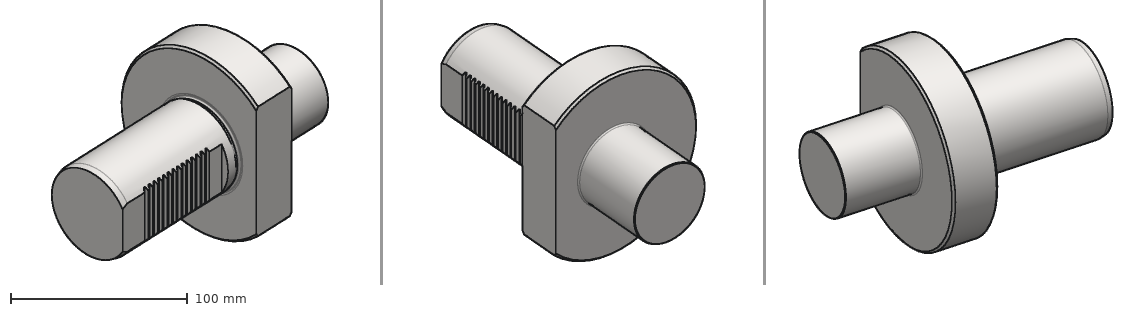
import cadquery as cq
import math


flange_radius = 123 / 2
flange_thickness = 30
flange_chamfer = 1.5
flange_flat_x = 42.5

spigot_radius = 52 / 2
spigot_length = 50
spigot_end_chamfer = 0.5
spigot_fillet_radius = 1.7 / 2

shank_radius = 60 / 2
shank_length = 94
shank_lead_length = 4
shank_lead_angle = 15
neck_radius = 58.7 / 2
neck_fillet_start = 0.8
neck_length = 1.4
neck_taper_end = 3.4
neck_fillet_radius = 2.1 / 2

face_relief_radius = 64 / 2
face_relief_floor_radius = 31
face_relief_depth = neck_fillet_radius - neck_fillet_start

shank_flat_x = 25
shank_flat_start = 10
notch_count = 14
notch_pitch = 4
first_notch_distance = 21.7
notch_depth = 1.6
notch_mouth_width = 2.9
notch_floor_width = 1


def revolve_about_y(outline):
    """Full turn about the Y axis of a closed outline drawn as (radius, Y)."""
    return outline.revolve(360, (0, 0, 0), (0, 1, 0))


def make_flange():
    """Chamfered disc with one side cut flat and a shallow relief around the shank."""
    disc = cq.Workplane("XZ").circle(flange_radius).extrude(-flange_thickness)
    disc = disc.edges().chamfer(flange_chamfer)
    beyond_flat = cq.Workplane("XY").box(
        flange_radius, 2 * flange_thickness, 2 * flange_radius, centered=(False, True, True)
    )
    beyond_flat = beyond_flat.translate((flange_flat_x, flange_thickness / 2, 0))
    relief_outline = [
        (0, 0),
        (face_relief_radius, 0),
        (face_relief_floor_radius, face_relief_depth),
        (0, face_relief_depth),
    ]
    relief = revolve_about_y(cq.Workplane("XY").polyline(relief_outline).close())
    return disc.cut(beyond_flat).cut(relief)


def make_spigot():
    """Rear cylinder with a fillet at its root and a small chamfer at its end."""
    rear_y = flange_thickness + spigot_length
    fillet_end_y = flange_thickness + spigot_fillet_radius
    fillet_mid_offset = spigot_fillet_radius * (1 - math.sin(math.radians(45)))
    fillet_mid = (spigot_radius + fillet_mid_offset, flange_thickness + fillet_mid_offset)
    outline = (
        cq.Workplane("XY")
        .moveTo(0, flange_thickness)
        .lineTo(spigot_radius + spigot_fillet_radius, flange_thickness)
        .threePointArc(fillet_mid, (spigot_radius, fillet_end_y))
        .lineTo(spigot_radius, rear_y - spigot_end_chamfer)
        .lineTo(spigot_radius - spigot_end_chamfer, rear_y)
        .lineTo(0, rear_y)
        .close()
    )
    return revolve_about_y(outline)


def make_shank():
    """Front cylinder with a lead taper at its tip and a filleted neck at the flange."""
    tip_radius = shank_radius - shank_lead_length * math.tan(math.radians(shank_lead_angle))
    fillet_center_radius = neck_radius + neck_fillet_radius
    fillet_mid_offset = neck_fillet_radius * math.sin(math.radians(45))
    fillet_mid = (fillet_center_radius - fillet_mid_offset, -neck_fillet_start + fillet_mid_offset)
    outline = (
        cq.Workplane("XY")
        .moveTo(0, face_relief_depth)
        .lineTo(fillet_center_radius, face_relief_depth)
        .threePointArc(fillet_mid, (neck_radius, -neck_fillet_start))
        .lineTo(neck_radius, -neck_length)
        .lineTo(shank_radius, -neck_taper_end)
        .lineTo(shank_radius, -shank_length + shank_lead_length)
        .lineTo(tip_radius, -shank_length)
        .lineTo(0, -shank_length)
        .close()
    )
    return revolve_about_y(outline)


def make_flat_cutter():
    """Block that clears the clamping flat from its shoulder to the shank tip."""
    length = shank_length - shank_flat_start
    block = cq.Workplane("XY").box(
        shank_radius, length, 2 * shank_radius, centered=(False, False, True)
    )
    return block.translate((shank_flat_x, -shank_length, 0))


def make_notch_cutter(center_y):
    """Trapezoidal groove across the clamping flat."""
    floor_x = shank_flat_x - notch_depth
    half_mouth = notch_mouth_width / 2
    half_floor = notch_floor_width / 2
    outline = [
        (shank_flat_x, center_y - half_mouth),
        (floor_x, center_y - half_floor),
        (floor_x, center_y + half_floor),
        (shank_flat_x, center_y + half_mouth),
    ]
    return cq.Workplane("XY").polyline(outline).close().extrude(shank_radius, both=True)


shank = make_shank().cut(make_flat_cutter())
for index in range(notch_count):
    shank = shank.cut(make_notch_cutter(-first_notch_distance - index * notch_pitch))

result = make_flange().union(make_spigot()).union(shank)